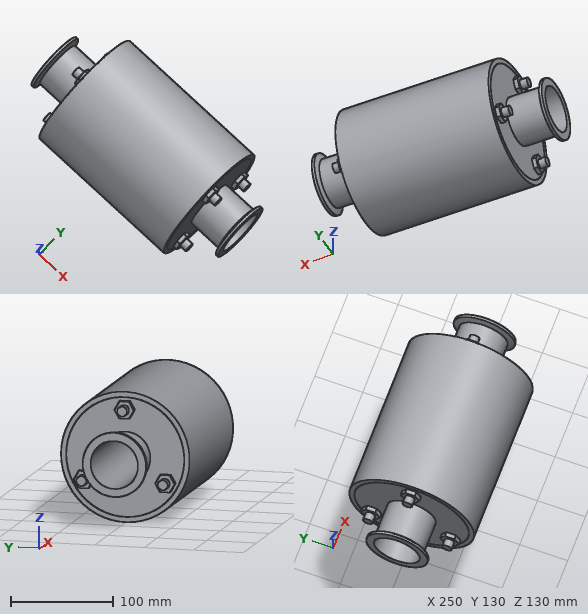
import cadquery as cq
import math

overall_length = 250.0
sleeve_length = 166.5
sleeve_outer_diameter = 130.0
sleeve_inner_diameter = 119.5

core_diameter = 119.0
pipe_diameter = 50.8
bore_diameter = 47.8

ferrule_diameter = 64.0
ferrule_rim_width = 3.0
ferrule_taper_width = 2.12

stud_count = 3
stud_diameter = 10.0
stud_projection = 12.2
stud_circle_radius = 47.5
nut_across_flats = 17.0
nut_thickness = 4.5

half_length = overall_length / 2
half_sleeve = sleeve_length / 2


def cylinder_along_x(diameter, length):
    """Cylinder on the X axis, centred on the origin."""
    return cq.Workplane("YZ", origin=(-length / 2, 0, 0)).circle(diameter / 2).extrude(length)


def make_sleeve():
    """Outer tube, flush with the core's end faces."""
    bore = cylinder_along_x(sleeve_inner_diameter, sleeve_length)
    return cylinder_along_x(sleeve_outer_diameter, sleeve_length).cut(bore)


def make_turned_blank():
    """Core and pipe ends as one turned profile, before the bore is cut."""
    pipe_radius = pipe_diameter / 2
    ferrule_radius = ferrule_diameter / 2
    core_radius = core_diameter / 2
    rim_x = half_length - ferrule_rim_width
    taper_x = rim_x - ferrule_taper_width
    return (
        cq.Workplane("XY")
        .moveTo(-half_length, 0)
        .lineTo(-half_length, ferrule_radius)
        .lineTo(-rim_x, ferrule_radius)
        .lineTo(-taper_x, pipe_radius)
        .lineTo(-half_sleeve, pipe_radius)
        .lineTo(-half_sleeve, core_radius)
        .lineTo(half_sleeve, core_radius)
        .lineTo(half_sleeve, pipe_radius)
        .lineTo(taper_x, pipe_radius)
        .lineTo(rim_x, ferrule_radius)
        .lineTo(half_length, ferrule_radius)
        .lineTo(half_length, 0)
        .close()
        .revolve(360, (0, 0, 0), (1, 0, 0))
    )


def make_fastener(y, z):
    """Stud end and hex nut at both ends, with nut flats facing up and down."""
    nut_across_corners = nut_across_flats / math.cos(math.pi / 6)
    fastener = cylinder_along_x(stud_diameter, sleeve_length + 2 * stud_projection)
    for nut_start in (-half_sleeve - nut_thickness, half_sleeve):
        nut = (
            cq.Workplane("YZ", origin=(nut_start, 0, 0))
            .polygon(6, nut_across_corners)
            .extrude(nut_thickness)
        )
        fastener = fastener.union(nut)
    return fastener.translate((0, y, z))


def make_core():
    """Core with pipe ends, fasteners and a through bore."""
    core = make_turned_blank()
    for index in range(stud_count):
        angle = math.pi / 2 + index * 2 * math.pi / stud_count
        y = stud_circle_radius * math.cos(angle)
        z = stud_circle_radius * math.sin(angle)
        core = core.union(make_fastener(y, z))
    return core.cut(cylinder_along_x(bore_diameter, overall_length))


sleeve = make_sleeve()
core = make_core()

result = cq.Compound.makeCompound([sleeve.val(), core.val()])